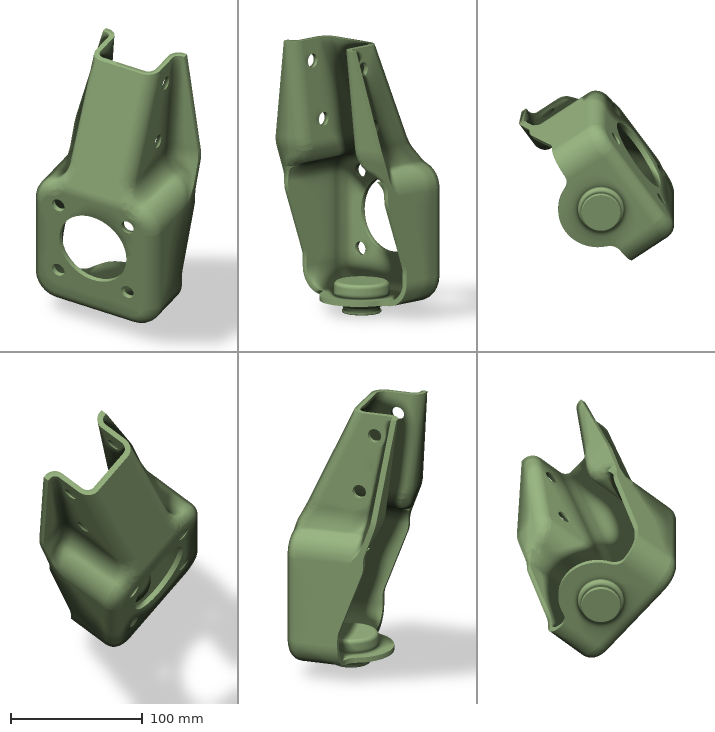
import cadquery as cq
import math

height = 212.0
half_width = 53.53
sheet = 4.0
margin = 42.5
helper_depth = 127.2
helper_top = height + margin
helper_half_width = half_width + margin

box_bottom = 10.0
corner_radius = 20.0
corner_center_z = 98.4
neck_half_width = 28.0
neck_root_radius = 15.0

front_slope = 0.472
front_bend_z = 117.5
front_bend_radius = 14.8
front_edge_radius = 10.0

flange_sheet = 4.5
flange_bend_y = 73.67
flange_bend_z = 131.0
flange_bend_radius = 40.0
flange_upper_slope = 0.127
flange_lower_slope = 0.37
flange_low_end_z = 63.5
flange_root_radius = 5.0
flange_roll_radius = flange_root_radius + sheet
flange_top_half_width = 35.2
roll_low_end_z = 110.2

wall_low_y = 42.8
wall_low_z = 39.6
wall_high_y = 63.5
wall_high_z = 93.7
wall_bend_radius = 20.0

bore_diameter = 58.0
bore_z = 71.0
bolt_diameter = 10.5
bolt_spacing = 60.0
neck_holes = [(63.8, 195.0), (51.5, 148.5)]

tongue_radius = 30.0
tongue_end_y = 68.0
tongue_root_radius = 10.0
pin_y = 35.0
head_diameter = 42.0
head_top = 24.2
pin_round = 3.0
collar_diameter = 35.0
collar_bottom = 5.0
groove_diameter = 28.0
tip_diameter = 30.0
tip_top = 2.0
tip_chamfer = 0.6


def near(x, y, z):
    return cq.selectors.NearestToPointSelector((x, y, z))


def side_prism(points):
    """Closed (Y, Z) outline extruded along X past both sides of the part."""
    return cq.Workplane("YZ").polyline(points).close().extrude(helper_half_width, both=True)


def height_band(low_z, high_z):
    """Block spanning the whole part between two heights."""
    plan = cq.Workplane("XY", origin=(0, 0, low_z))
    return plan.rect(2 * helper_half_width, 2 * helper_depth).extrude(high_z - low_z)


def on_line(point, slope, z):
    """(Y, Z) point at height z on the sloped line through point."""
    return (point[0] + slope * (z - point[1]), z)


def arc_point(center, radius, angle):
    return (center[0] + radius * math.cos(angle), center[1] + radius * math.sin(angle))


def keyhole_outline(inset):
    """Outline of box and neck in the XZ plane, moved inward by inset."""
    side = half_width - inset
    bottom = box_bottom + inset
    radius = corner_radius - inset
    neck = neck_half_width - inset
    root = neck_root_radius + inset
    corner_x = side - radius
    low_center = (corner_x, bottom + radius)
    high_center = (corner_x, corner_center_z)
    run = neck + root - corner_x
    rise = math.sqrt((radius + root) ** 2 - run ** 2)
    angle = math.atan2(rise, run)
    root_center = (neck + root, corner_center_z + rise)
    return (
        cq.Workplane("XZ")
        .moveTo(0, bottom)
        .lineTo(corner_x, bottom)
        .threePointArc(arc_point(low_center, radius, -math.pi / 4), (side, low_center[1]))
        .lineTo(side, corner_center_z)
        .threePointArc(arc_point(high_center, radius, angle / 2), arc_point(high_center, radius, angle))
        .threePointArc(arc_point(root_center, root, math.pi + angle / 2), (neck, root_center[1]))
        .lineTo(neck, helper_top)
        .lineTo(0, helper_top)
        .mirrorY()
    )


def pressed_form(inset):
    """Solid bounded by the sheet surface lying inset below the outer skin."""
    tilt = math.atan(front_slope)
    bend = (inset, front_bend_z - inset * (1 / math.cos(tilt) - 1) / front_slope)
    behind_front = side_prism([
        (inset, 0),
        bend,
        on_line(bend, front_slope, helper_top),
        (helper_depth, helper_top),
        (helper_depth, 0),
    ])
    behind_front = behind_front.edges(near(0, *bend)).fillet(front_bend_radius - inset)
    form = keyhole_outline(inset).extrude(-helper_depth).intersect(behind_front)
    return form.faces("<Y").edges("<Z").fillet(front_edge_radius - inset)


def flange_bend_point(offset):
    """(Y, Z) bend of the flange surface lying offset in front of its back face."""
    upper_shift = offset * math.hypot(1, flange_upper_slope)
    lower_shift = offset * math.hypot(1, flange_lower_slope)
    drop = (upper_shift - lower_shift) / (flange_lower_slope - flange_upper_slope)
    y = flange_bend_y - flange_upper_slope * drop - upper_shift
    return (y, flange_bend_z - drop)


def behind_flange(offset):
    """Everything behind the flange surface lying offset in front of its back face."""
    bend = flange_bend_point(offset)
    block = side_prism([
        on_line(bend, flange_lower_slope, flange_low_end_z),
        bend,
        on_line(bend, flange_upper_slope, helper_top),
        (helper_depth, helper_top),
        (helper_depth, flange_low_end_z),
    ])
    return block.edges(near(0, *bend)).fillet(flange_bend_radius - offset)


def flared(form, inset, offset, radius):
    """Form joined to the space behind a flange surface, with the seams rounded."""
    joined = form.union(behind_flange(offset))
    seam = on_line(flange_bend_point(offset), flange_upper_slope, (flange_bend_z + helper_top) / 2)
    for side in (-1, 1):
        joined = joined.edges(near(side * (neck_half_width - inset), *seam)).fillet(radius)
    return joined


def front_silhouette():
    """Block with the tapered outline that trims the flanges."""
    block = (
        cq.Workplane("XZ")
        .polyline([
            (-half_width, 0),
            (half_width, 0),
            (half_width, flange_bend_z),
            (flange_top_half_width, height),
            (-flange_top_half_width, height),
            (-half_width, flange_bend_z),
        ])
        .close()
        .extrude(-helper_depth)
    )
    for side in (-1, 1):
        taper_end = near(side * half_width, helper_depth / 2, flange_bend_z)
        block = block.edges(taper_end).fillet(flange_bend_radius)
    return block


def back_limit():
    """Block whose back follows the wall edges and, higher up, the flange back face."""
    flange_bend = (flange_bend_y, flange_bend_z)
    wall_top_z = flange_bend_z - (flange_bend_y - wall_high_y) / flange_lower_slope
    wall_bends = [(wall_low_y, wall_low_z), (wall_high_y, wall_high_z), (wall_high_y, wall_top_z)]
    block = side_prism([
        (0, 0),
        (wall_low_y, 0),
        *wall_bends,
        flange_bend,
        on_line(flange_bend, flange_upper_slope, helper_top),
        (0, helper_top),
    ])
    for bend in wall_bends:
        block = block.edges(near(0, *bend)).fillet(wall_bend_radius)
    return block.edges(near(0, *flange_bend)).fillet(flange_bend_radius)


def tongue_plate(outer_form):
    """Bottom plate with a round tongue reaching out behind the box."""
    tongue_y = tongue_end_y - tongue_radius
    base = cq.Workplane("XY", origin=(0, 0, box_bottom))
    plate = base.rect(2 * half_width, 2 * wall_low_y).extrude(sheet)
    plate = plate.union(base.center(0, tongue_y).circle(tongue_radius).extrude(sheet))
    for side in (-1, 1):
        notch = near(side * tongue_radius, wall_low_y, box_bottom + sheet / 2)
        plate = plate.edges(notch).fillet(tongue_root_radius)
    return plate.intersect(outer_form)


def disc(diameter, low_z, high_z):
    base = cq.Workplane("XY", origin=(0, pin_y, low_z))
    return base.circle(diameter / 2).extrude(high_z - low_z)


def pivot_pin():
    """Grooved pin with its head inside the box and its collar below the bottom."""
    head = disc(head_diameter, box_bottom, head_top).faces(">Z").edges().fillet(pin_round)
    collar = disc(collar_diameter, collar_bottom, box_bottom).faces("<Z").edges().fillet(pin_round)
    groove = disc(groove_diameter, tip_top, collar_bottom)
    tip = disc(tip_diameter, 0, tip_top).faces("<Z").edges().chamfer(tip_chamfer)
    return head.union(collar).union(groove).union(tip)


def front_holes():
    """Bore and four bolt holes through the box front."""
    face = cq.Workplane("XZ", origin=(0, 0, bore_z))
    bore = face.circle(bore_diameter / 2).extrude(-2 * sheet)
    bolts = face.rect(bolt_spacing, bolt_spacing, forConstruction=True).vertices()
    return bore.union(bolts.circle(bolt_diameter / 2).extrude(-2 * sheet))


def cross_holes():
    """Holes along X through both neck walls."""
    holes = cq.Workplane("YZ").pushPoints(neck_holes).circle(bolt_diameter / 2)
    return holes.extrude(neck_half_width, both=True)


outer = pressed_form(0)
inner = pressed_form(sheet)
back = back_limit()

roll = flared(inner, sheet, 0, flange_roll_radius).intersect(height_band(roll_low_end_z, helper_top))
neck = (
    flared(outer, 0, flange_sheet, flange_root_radius)
    .intersect(front_silhouette())
    .intersect(back)
    .intersect(height_band(corner_center_z, height))
    .cut(roll)
    .cut(inner)
)
box = outer.intersect(back).intersect(height_band(0, roll_low_end_z)).cut(inner)

result = neck.union(box).union(tongue_plate(outer)).union(pivot_pin())
result = result.cut(front_holes()).cut(cross_holes())